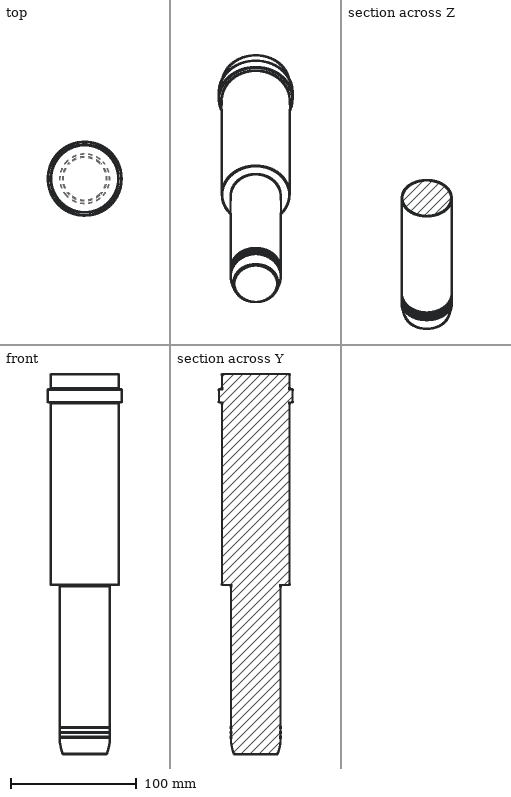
import cadquery as cq

length = 303.0
head_radius = 54.2 / 2
collar_radius = 59.0 / 2
shank_radius = 40.0 / 2

collar_top = length - 12.0
collar_height = 10.5
shank_length = 134.8

edge_chamfer = 0.48

tip_length = 10.0
tip_radius = 18.0
tip_chamfer = 1.0
tip_arc_radius = 2 * shank_radius

groove_width = 1.0
groove_depth = 0.45

groove_count = 3
groove_pitch = 4.0
lowest_groove_middle = 13.5


def cylinder(radius, bottom, top):
    return cq.Workplane("XY").workplane(offset=bottom).circle(radius).extrude(top - bottom)


def tip():
    """Nose whose gently bulging side leaves the shank at a slight angle and ends in a small chamfer."""
    return (
        cq.Workplane("XZ")
        .moveTo(0, 0)
        .lineTo(0, tip_length)
        .lineTo(shank_radius, tip_length)
        .radiusArc((tip_radius, tip_chamfer), tip_arc_radius)
        .lineTo(tip_radius - tip_chamfer, 0)
        .close()
        .revolve(360, (0, 0, 0), (0, 1, 0))
    )


def ring_groove(radius, bottom):
    """Ring to remove from a cylinder of the given radius, one groove wide upward from its bottom."""
    top = bottom + groove_width
    return cylinder(radius, bottom, top).cut(cylinder(radius - groove_depth, bottom, top))


def broken_edge_cylinder(radius, bottom, top):
    return cylinder(radius, bottom, top).faces("<Z or >Z").chamfer(edge_chamfer)


shank = cylinder(shank_radius, tip_length, shank_length)
shank = shank.cut(ring_groove(shank_radius, shank_length - groove_width))
for index in range(groove_count):
    groove_middle = lowest_groove_middle + index * groove_pitch
    shank = shank.cut(ring_groove(shank_radius, groove_middle - groove_width / 2))

collar_bottom = collar_top - collar_height
collar = broken_edge_cylinder(collar_radius, collar_bottom, collar_top)

head = broken_edge_cylinder(head_radius, shank_length, length)
head = head.cut(ring_groove(head_radius, collar_top))
head = head.cut(ring_groove(head_radius, collar_bottom - groove_width))

result = tip().union(shank).union(head).union(collar)